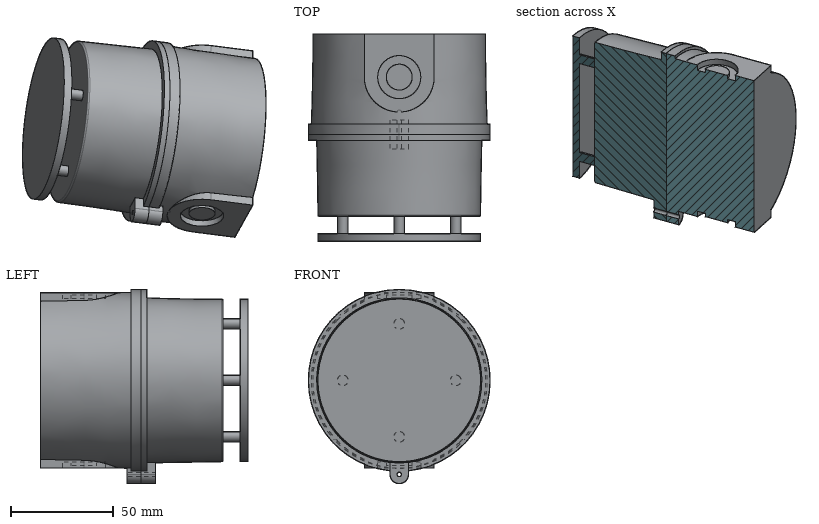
import cadquery as cq
import math

draft = math.tan(math.radians(1.0))

flange_radius = 44.29
rear_flange_thickness = 5.1
front_flange_thickness = 2.8

rear_length = 49.06
rear_base_radius = 42.87
rear_end_radius = rear_base_radius - (rear_length - rear_flange_thickness) * draft

pad_height = 42.75
pad_half_width = 17.0
pad_center_y = rear_length - 21.1
recess_radius = 10.5
recess_depth = 3.0
boss_radius = 6.3
boss_setback = 1.2

front_length = 39.9
front_base_radius = 40.25
front_end_radius = front_base_radius - (front_length - front_flange_thickness) * draft
front_edge_fillet = 0.8

tab_half_width = 4.55
tab_half_length = 7.0
tab_bottom = 50.33
tab_center_z = -(tab_bottom - tab_half_width)
tab_hole_radius = 1.0

disc_radius = 39.6
disc_thickness = 3.8
disc_front = 52.0
disc_back = disc_front - disc_thickness
post_radius = 2.6
post_circle_radius = 27.5
post_count = 4


def cylinder_along_y(radius, y_start, y_end, x=0, z=0):
    """Round bar parallel to Y, from y_start up to the larger y_end."""
    length = y_end - y_start
    return cq.Workplane(cq.Solid.makeCylinder(radius, length, cq.Vector(x, y_start, z), cq.Vector(0, 1, 0)))


def cone_along_y(base_radius, end_radius, length, direction):
    """Tapered round body from Y = 0 towards +Y (direction 1) or -Y (direction -1)."""
    axis = cq.Vector(0, direction, 0)
    return cq.Workplane(cq.Solid.makeCone(base_radius, end_radius, length, cq.Vector(0, 0, 0), axis))


def make_tab(y_start, y_end):
    """Round-ended tab hanging from the axis down past the flange, with its hole."""
    length = y_end - y_start
    strip = cq.Workplane("XY").box(
        2 * tab_half_width, length, -tab_center_z, centered=(True, False, False)
    ).translate((0, y_start, tab_center_z))
    round_end = cylinder_along_y(tab_half_width, y_start, y_end, z=tab_center_z)
    hole = cylinder_along_y(tab_hole_radius, y_start, y_end, z=tab_center_z)
    return strip.union(round_end), hole


def make_pad():
    """U-shaped pad from the axis up to pad_height, open to the rear end."""
    return (
        cq.Workplane("XY")
        .moveTo(-pad_half_width, rear_length)
        .lineTo(-pad_half_width, pad_center_y)
        .threePointArc((0, pad_center_y - pad_half_width), (pad_half_width, pad_center_y))
        .lineTo(pad_half_width, rear_length)
        .close()
        .extrude(pad_height)
    )


def make_pad_recess():
    """Ring recess in the top of the pad, with the boss left standing below the pad face."""
    floor = cq.Workplane("XY").workplane(offset=pad_height - recess_depth).center(0, pad_center_y)
    pocket = floor.circle(recess_radius).extrude(recess_depth)
    boss = floor.circle(boss_radius).extrude(recess_depth - boss_setback)
    return pocket.cut(boss)


def make_rear_housing():
    base_radius = rear_base_radius + rear_flange_thickness * draft
    pad = make_pad()
    recess = make_pad_recess()
    tab, tab_hole = make_tab(0, tab_half_length)
    body = cone_along_y(base_radius, rear_end_radius, rear_length, 1)
    body = body.union(cylinder_along_y(flange_radius, 0, rear_flange_thickness))
    body = body.union(pad).union(pad.mirror("XY")).union(tab)
    return body.cut(recess).cut(recess.mirror("XY")).cut(tab_hole)


def make_front_housing():
    base_radius = front_base_radius + front_flange_thickness * draft
    tab, tab_hole = make_tab(-tab_half_length, 0)
    body = cone_along_y(base_radius, front_end_radius, front_length, -1)
    body = body.faces("<Y").edges().fillet(front_edge_fillet)
    body = body.union(cylinder_along_y(flange_radius, -front_flange_thickness, 0))
    return body.union(tab).cut(tab_hole)


def make_front_disc():
    """Disc with posts that stand on the end face of the front housing."""
    disc = cylinder_along_y(disc_radius, -disc_front, -disc_back)
    for index in range(post_count):
        angle = 2 * math.pi * index / post_count
        post_x = post_circle_radius * math.cos(angle)
        post_z = post_circle_radius * math.sin(angle)
        disc = disc.union(cylinder_along_y(post_radius, -disc_back, -front_length, post_x, post_z))
    return disc


rear_housing = make_rear_housing()
front_housing = make_front_housing()
front_disc = make_front_disc()

result = cq.Compound.makeCompound([rear_housing.val(), front_housing.val(), front_disc.val()])